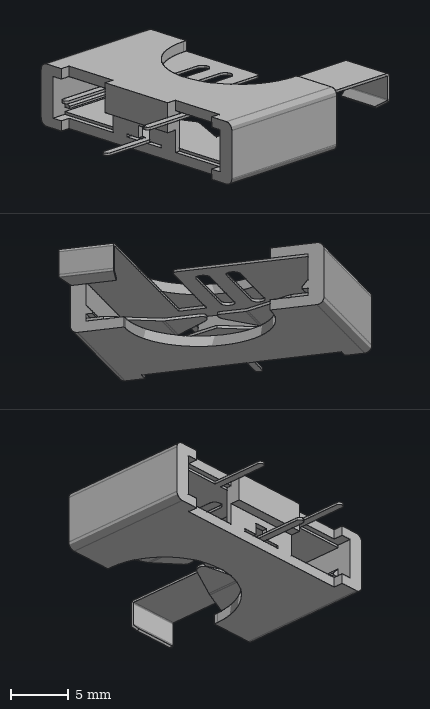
import cadquery as cq
import math


HOUSING_WIDTH = 23.43
HOUSING_DEPTH = 13.09
HOUSING_HEIGHT = 5.8
EDGE_RADIUS = 0.65
SIDE_WALL = 1.47
COVER_WALL = 0.97
NOTCH_DEPTH = 0.97
NOTCH_HALF_WIDTH = 9.22
BLOCK_HALF_WIDTH = 3.84
BLOCK_WALL = 0.5
BLOCK_STEP_Z = 0.13
THUMB_RADIUS = 6.73
THUMB_DEPTH = 7.15
TAIL_SLOT_WIDTH = 4.17
PIN_WINDOW_WIDTH = 1.35
PIN_WINDOW_TOP_Z = -0.55
SNAP_REACH = 0.55
SNAP_TOP_Z = -0.45
SNAP_EDGE_Z = -1.07
SNAP_BOTTOM_Z = -1.27

SHEET = 0.25
PIN_WIDTH = 0.7
PIN_REACH = 4.01
PIN_SPACING = 5.0
OVERALL_LENGTH = 25.4
PLATE_EDGE_X = 2.36
PLATE_CORNER_RADIUS = 0.5
ARM_LEFT_X = 4.93
ARM_WIDTH = 5.05
SLOT_WIDTH = 1.27
SLOT_END_FROM_BACK = 1.6
SLOT_FRONT_Y = 3.5
SLOT_PITCH = 2.8
SLOT_COUNT = 2
HOOK_BEND_INNER = 0.08
HOOK_BEND_Z = -0.5
LIP_LENGTH = 0.91
LIP_ANGLE = 45
LIP_CORNER_CUT = 0.9
FINGER_ROOT_X = 3.96
FINGER_ROOT_HALF_WIDTH = 2.0
FINGER_SLOPE = 0.45
FINGER_TIP_X = 0.53
FINGER_ANGLE = 10
FINGER_BEND_INNER = 1.02
FINGER_TIP_RADIUS = 0.64
FINGER_FROM_BACK = 4.12
FINGER_FRONT_GAP = 1.02

HALF_WIDTH = HOUSING_WIDTH / 2
HALF_HEIGHT = HOUSING_HEIGHT / 2
CAVITY_HALF_WIDTH = HALF_WIDTH - SIDE_WALL
CAVITY_HALF_HEIGHT = HALF_HEIGHT - COVER_WALL
INNER_Y = NOTCH_DEPTH + BLOCK_WALL
UPPER_Z = CAVITY_HALF_HEIGHT - SHEET
LOWER_Z = -CAVITY_HALF_HEIGHT
HOOK_BACK_Y = OVERALL_LENGTH - PIN_REACH
FINGER_Y = HOUSING_DEPTH - FINGER_FROM_BACK


def box(x0, x1, y0, y1, z0, z1):
    """Box between two opposite corners."""
    return cq.Workplane("XY").box(x1 - x0, y1 - y0, z1 - z0, centered=False).translate((x0, y0, z0))


def thumb_cutout():
    """U-shaped opening through roof and floor, open at the back."""
    centre_y = HOUSING_DEPTH - (THUMB_DEPTH - THUMB_RADIUS)
    return (
        cq.Workplane("XY", origin=(0, 0, -HALF_HEIGHT))
        .moveTo(-THUMB_RADIUS, HOUSING_DEPTH)
        .lineTo(-THUMB_RADIUS, centre_y)
        .threePointArc((0, centre_y - THUMB_RADIUS), (THUMB_RADIUS, centre_y))
        .lineTo(THUMB_RADIUS, HOUSING_DEPTH)
        .close()
        .extrude(HOUSING_HEIGHT)
    )


def front_block():
    """Middle block of the front: full depth above, recessed below, open for the lower contact."""
    half = BLOCK_HALF_WIDTH
    block = box(-half, half, 0, INNER_Y, -CAVITY_HALF_HEIGHT, CAVITY_HALF_HEIGHT)
    recess = box(-half, half, 0, NOTCH_DEPTH, -CAVITY_HALF_HEIGHT, BLOCK_STEP_Z)
    half_slot = TAIL_SLOT_WIDTH / 2
    tail_slot = box(-half_slot, half_slot, 0, INNER_Y, LOWER_Z, LOWER_Z + SHEET)
    half_window = PIN_WINDOW_WIDTH / 2
    pin_window = box(-half_window, half_window, 0, INNER_Y, LOWER_Z, PIN_WINDOW_TOP_Z)
    return block.cut(recess).cut(tail_slot).cut(pin_window)


def snap_ribs():
    """Wedge ribs along both inner side walls, sloped on top and flat below."""
    wall_x = CAVITY_HALF_WIDTH
    edge_x = wall_x - SNAP_REACH
    right = (
        cq.Workplane("XZ", origin=(0, INNER_Y, 0))
        .polyline([
            (wall_x, SNAP_TOP_Z),
            (edge_x, SNAP_EDGE_Z),
            (edge_x, SNAP_BOTTOM_Z),
            (wall_x, SNAP_BOTTOM_Z),
        ])
        .close()
        .extrude(-(HOUSING_DEPTH - INNER_Y))
    )
    return right.union(right.mirror("YZ"))


def make_housing():
    body = box(-HALF_WIDTH, HALF_WIDTH, 0, HOUSING_DEPTH, -HALF_HEIGHT, HALF_HEIGHT)
    body = body.edges("|Y").fillet(EDGE_RADIUS)
    cavity = box(
        -CAVITY_HALF_WIDTH, CAVITY_HALF_WIDTH, 0, HOUSING_DEPTH, -CAVITY_HALF_HEIGHT, CAVITY_HALF_HEIGHT
    )
    floor_notch = box(-NOTCH_HALF_WIDTH, NOTCH_HALF_WIDTH, 0, NOTCH_DEPTH, -HALF_HEIGHT, 0)
    roof_notch = box(BLOCK_HALF_WIDTH, NOTCH_HALF_WIDTH, 0, NOTCH_DEPTH, 0, HALF_HEIGHT)
    body = body.cut(cavity).cut(floor_notch).cut(roof_notch).cut(roof_notch.mirror("YZ"))
    body = body.cut(thumb_cutout())
    return body.union(front_block()).union(snap_ribs())


def pin(x, z):
    """Flat terminal pin with a round tip, reaching forward from the front edge of a contact."""
    radius = PIN_WIDTH / 2
    tip_y = radius - PIN_REACH
    blade = box(x - radius, x + radius, tip_y, INNER_Y, z, z + SHEET)
    tip = cq.Workplane("XY", origin=(x, tip_y, z)).circle(radius).extrude(SHEET)
    return blade.union(tip)


def upper_slot(x):
    """Round-ended slot through the tongue of the upper contact."""
    length = HOUSING_DEPTH - SLOT_END_FROM_BACK - SLOT_FRONT_Y
    return (
        cq.Workplane("XY", origin=(x, SLOT_FRONT_Y + length / 2, UPPER_Z))
        .slot2D(length, SLOT_WIDTH, 90)
        .extrude(SHEET)
    )


def polar(centre, radius, degrees):
    """Point at a radius and angle from a centre."""
    angle = math.radians(degrees)
    return (centre[0] + radius * math.cos(angle), centre[1] + radius * math.sin(angle))


def hook():
    """Arm running out at the back, bent down and then inward, with one lip corner cut off."""
    inner = HOOK_BEND_INNER
    outer = HOOK_BEND_INNER + SHEET
    top_bend = (HOOK_BACK_Y - outer, UPPER_Z + SHEET - outer)
    low_bend = (HOOK_BACK_Y - outer, HOOK_BEND_Z)
    lip_direction = -90 - LIP_ANGLE
    lip_inner = polar(polar(low_bend, inner, -LIP_ANGLE), LIP_LENGTH, lip_direction)
    lip_outer = polar(polar(low_bend, outer, -LIP_ANGLE), LIP_LENGTH, lip_direction)
    strip = (
        cq.Workplane("YZ", origin=(ARM_LEFT_X, 0, 0))
        .moveTo(HOUSING_DEPTH, UPPER_Z)
        .lineTo(*polar(top_bend, inner, 90))
        .threePointArc(polar(top_bend, inner, 45), polar(top_bend, inner, 0))
        .lineTo(*polar(low_bend, inner, 0))
        .threePointArc(polar(low_bend, inner, -LIP_ANGLE / 2), polar(low_bend, inner, -LIP_ANGLE))
        .lineTo(*lip_inner)
        .lineTo(*lip_outer)
        .lineTo(*polar(low_bend, outer, -LIP_ANGLE))
        .threePointArc(polar(low_bend, outer, -LIP_ANGLE / 2), polar(low_bend, outer, 0))
        .lineTo(*polar(top_bend, outer, 0))
        .threePointArc(polar(top_bend, outer, 45), polar(top_bend, outer, 90))
        .lineTo(HOUSING_DEPTH, UPPER_Z + SHEET)
        .close()
        .extrude(ARM_WIDTH)
    )
    lip_middle = polar(lip_inner, SHEET / 2, -LIP_ANGLE)
    lip_corner = (ARM_LEFT_X + ARM_WIDTH, *lip_middle)
    return strip.edges(cq.selectors.NearestToPointSelector(lip_corner)).chamfer(LIP_CORNER_CUT)


def make_upper_contact():
    half = CAVITY_HALF_WIDTH
    top_z = UPPER_Z + SHEET
    plate = box(-half, half, INNER_Y, SLOT_FRONT_Y, UPPER_Z, top_z)
    tongue = box(-half, PLATE_EDGE_X, SLOT_FRONT_Y, HOUSING_DEPTH, UPPER_Z, top_z)
    tongue = tongue.edges("|Z and >X and >Y").fillet(PLATE_CORNER_RADIUS)
    arm_root = box(ARM_LEFT_X, half, SLOT_FRONT_Y, HOUSING_DEPTH, UPPER_Z, top_z)
    contact = plate.union(tongue).union(arm_root).union(hook())
    first_slot_x = PLATE_EDGE_X - (SLOT_PITCH - SLOT_WIDTH) - SLOT_WIDTH / 2
    for index in range(SLOT_COUNT):
        contact = contact.cut(upper_slot(first_slot_x - index * SLOT_PITCH))
    for x in (-PIN_SPACING, PIN_SPACING):
        contact = contact.union(pin(x, UPPER_Z))
    return contact


def spring_finger():
    """Right-hand finger: tapers and rises from its root towards the middle, with a round tip."""
    tip_half_width = FINGER_ROOT_HALF_WIDTH - FINGER_SLOPE * (FINGER_ROOT_X - FINGER_TIP_X)
    inner = FINGER_BEND_INNER
    outer = FINGER_BEND_INNER + SHEET
    bend = (FINGER_ROOT_X, LOWER_Z + outer)
    end_angle = -90 - FINGER_ANGLE
    middle_angle = -90 - FINGER_ANGLE / 2
    rise_direction = 180 - FINGER_ANGLE
    reach = FINGER_ROOT_X
    rise = (
        cq.Workplane("XZ", origin=(0, FINGER_Y - FINGER_ROOT_HALF_WIDTH, 0))
        .moveTo(*polar(bend, outer, -90))
        .threePointArc(polar(bend, outer, middle_angle), polar(bend, outer, end_angle))
        .lineTo(*polar(polar(bend, outer, end_angle), reach, rise_direction))
        .lineTo(*polar(polar(bend, inner, end_angle), reach, rise_direction))
        .lineTo(*polar(bend, inner, end_angle))
        .threePointArc(polar(bend, inner, middle_angle), polar(bend, inner, -90))
        .close()
        .extrude(-2 * FINGER_ROOT_HALF_WIDTH)
    )
    outline = (
        cq.Workplane("XY", origin=(0, FINGER_Y, LOWER_Z))
        .polyline([
            (FINGER_ROOT_X, -FINGER_ROOT_HALF_WIDTH),
            (FINGER_ROOT_X, FINGER_ROOT_HALF_WIDTH),
            (FINGER_TIP_X, tip_half_width),
            (FINGER_TIP_X, -tip_half_width),
        ])
        .close()
        .extrude(HOUSING_HEIGHT / 2)
        .edges("|Z and <X")
        .fillet(FINGER_TIP_RADIUS)
    )
    return rise.intersect(outline)


def finger_opening():
    """Opening in the lower plate around the fingers, widening to the back edge."""
    peak_half_width = FINGER_ROOT_HALF_WIDTH - FINGER_SLOPE * FINGER_ROOT_X
    peak_y = FINGER_Y - peak_half_width - FINGER_FRONT_GAP
    back_x = FINGER_ROOT_X + (FINGER_FROM_BACK - FINGER_ROOT_HALF_WIDTH) / FINGER_SLOPE
    right_side = [
        (FINGER_ROOT_X, peak_y - FINGER_SLOPE * FINGER_ROOT_X),
        (FINGER_ROOT_X, FINGER_Y + FINGER_ROOT_HALF_WIDTH),
        (back_x, HOUSING_DEPTH),
    ]
    left_side = [(-x, y) for x, y in reversed(right_side)]
    return (
        cq.Workplane("XY", origin=(0, 0, LOWER_Z))
        .polyline([(0, peak_y)] + right_side + left_side)
        .close()
        .extrude(SHEET)
    )


def make_lower_contact():
    half = CAVITY_HALF_WIDTH
    plate = box(-half, half, INNER_Y, HOUSING_DEPTH, LOWER_Z, LOWER_Z + SHEET)
    finger = spring_finger()
    contact = plate.cut(finger_opening()).union(finger).union(finger.mirror("YZ"))
    return contact.union(pin(0, LOWER_Z))


housing = make_housing()
upper_contact = make_upper_contact()
lower_contact = make_lower_contact()

result = cq.Compound.makeCompound([housing.val(), upper_contact.val(), lower_contact.val()])